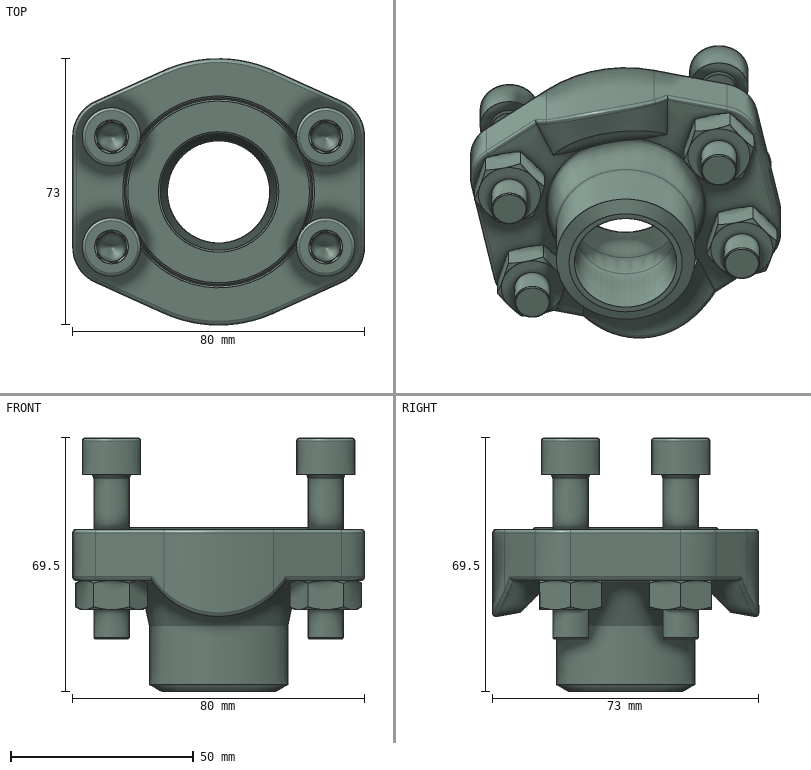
import cadquery as cq
import math

bolt_spacing_x = 58.7
bolt_spacing_y = 30.2
flange_length = 80.0
flange_width = 73.0
flange_thickness = 14.0
flange_edge_fillet = 1.0
bolt_hole_diameter = 12.0

skirt_radius = 24.1
skirt_draft = 10.0
skirt_inner_y = 28.9
skirt_inner_angle = 45.0

collar_diameter = 50.8
collar_thickness = 8.0
collar_projection = 0.5
collar_chamfer = 0.5
recess_diameter = 51.6
recess_chamfer = 0.5
neck_hole_diameter = 43.7
neck_diameter = 43.0
pipe_diameter = 38.0
cone_top_z = -14.5
pipe_top_z = -26.3
neck_length = 45.0
neck_bore_diameter = 32.0
neck_bore_depth = 14.5
neck_bore_chamfer = 0.5
pipe_bore_diameter = 28.0
weld_bevel_width = 3.5
weld_bevel_angle = 30.0

shank_diameter = 9.73
screw_length = 45.0
head_diameter = 16.0
head_height = 10.0
head_fillet = 0.8
head_gap = 15.0
throat_diameter = 10.5
throat_height = 1.0
tip_chamfer = 0.3
socket_across_flats = 8.0
socket_depth = 6.0
socket_turn = 38.0
socket_cone_angle = 30.0
socket_mouth_angle = 30.0

nut_across_flats = 17.0
nut_height = 8.0
nut_chamfer_angle = 30.0

bolt_x = bolt_spacing_x / 2
bolt_y = bolt_spacing_y / 2
bolt_positions = [(sx * bolt_x, sy * bolt_y) for sx in (-1, 1) for sy in (-1, 1)]
side_radius = flange_width / 2
corner_radius = flange_length / 2 - bolt_x
collar_bottom_z = collar_projection - collar_thickness
clear_below_z = -2 * skirt_radius
head_top_z = head_gap + head_height


def polar(center, radius, angle):
    """Point on a circle; the angle is in radians."""
    return (center[0] + radius * math.cos(angle), center[1] + radius * math.sin(angle))


def hexagon_corner_diameter(across_flats):
    """Corner-to-corner size of a regular hexagon."""
    return across_flats / math.cos(math.pi / 6)


def cylinder(diameter, top_z, bottom_z):
    """Upright cylinder on the Z axis."""
    return cq.Workplane("XY", origin=(0, 0, top_z)).circle(diameter / 2).extrude(bottom_z - top_z)


def revolve_about_z(profile):
    """Solid of revolution from (radius, z) points."""
    return cq.Workplane("XZ").polyline(profile).close().revolve(360, (0, 0, 0), (0, 1, 0))


def flange_plate(thickness):
    """Plate whose outline wraps the central circle and the four bolt circles."""
    bolt_distance = math.hypot(bolt_x, bolt_y)
    tilt = math.acos((side_radius - corner_radius) / bolt_distance)
    tangent_angle = math.atan2(bolt_y, bolt_x) + tilt
    bolt_center = (bolt_x, bolt_y)
    side_end = polar((0, 0), side_radius, tangent_angle)
    corner_start = polar(bolt_center, corner_radius, tangent_angle)
    corner_middle = polar(bolt_center, corner_radius, tangent_angle / 2)
    corner_end = (bolt_x + corner_radius, bolt_y)
    quarter = (
        cq.Workplane("XY")
        .moveTo(0, 0)
        .lineTo(0, side_radius)
        .threePointArc(polar((0, 0), side_radius, (tangent_angle + math.pi / 2) / 2), side_end)
        .lineTo(*corner_start)
        .threePointArc(corner_middle, corner_end)
        .lineTo(corner_end[0], 0)
        .close()
        .extrude(-thickness)
    )
    half = quarter.union(quarter.mirror("YZ"))
    return half.union(half.mirror("XZ")).clean()


def skirt_envelope():
    """Cone about the Y axis, ending in a sloped plane on its inner side; +Y side only."""
    draft_slope = math.tan(math.radians(skirt_draft))
    inner_radius = skirt_radius - side_radius * draft_slope
    cone = (
        cq.Workplane("XY")
        .polyline([(0, 0), (inner_radius, 0), (skirt_radius, side_radius), (0, side_radius)])
        .close()
        .revolve(360, (0, 0, 0), (0, 1, 0))
    )
    inner_z = (side_radius - skirt_inner_y) * draft_slope - skirt_radius
    top_y = skirt_inner_y + inner_z / math.tan(math.radians(skirt_inner_angle))
    keep = (
        cq.Workplane("YZ")
        .polyline([(top_y, 0), (skirt_inner_y, inner_z), (skirt_inner_y, clear_below_z),
                   (flange_width, clear_below_z), (flange_width, 0)])
        .close()
        .extrude(flange_length, both=True)
    )
    return cone.intersect(keep)


def build_flange():
    """Flange plate with two skirts, the collar recess, the neck hole and the bolt holes."""
    skirt = skirt_envelope().intersect(flange_plate(-clear_below_z))
    body = flange_plate(flange_thickness).union(skirt).union(skirt.mirror("XZ")).clean()

    lower_rim_zone = cq.selectors.BoxSelector(
        (-flange_length, -flange_length, clear_below_z),
        (flange_length, flange_length, flange_edge_fillet - flange_thickness),
    )
    body = body.faces("#Z").edges("not |Z").edges(lower_rim_zone).fillet(flange_edge_fillet)
    body = body.faces(">Z").edges().fillet(flange_edge_fillet)

    recess_radius = recess_diameter / 2
    recess = revolve_about_z([
        (0, collar_bottom_z),
        (recess_radius, collar_bottom_z),
        (recess_radius, -recess_chamfer),
        (recess_radius + recess_chamfer, 0),
        (0, 0),
    ])
    neck_hole = cylinder(neck_hole_diameter, 0, clear_below_z)
    body = body.cut(recess).cut(neck_hole)
    for x, y in bolt_positions:
        body = body.cut(cylinder(bolt_hole_diameter, 0, -flange_thickness).translate((x, y, 0)))
    return body


def build_neck():
    """Revolved welding neck: collar, cone to the pipe end, bevel and stepped bore."""
    collar_radius = collar_diameter / 2
    pipe_radius = pipe_diameter / 2
    bore_radius = neck_bore_diameter / 2
    pipe_bore_radius = pipe_bore_diameter / 2
    top = collar_projection
    bottom = top - neck_length
    bevel_height = weld_bevel_width * math.tan(math.radians(weld_bevel_angle))
    bore_end = top - neck_bore_depth
    profile = [
        (pipe_bore_radius, bottom),
        (pipe_radius - weld_bevel_width, bottom),
        (pipe_radius, bottom + bevel_height),
        (pipe_radius, pipe_top_z),
        (neck_diameter / 2, cone_top_z),
        (neck_diameter / 2, collar_bottom_z),
        (collar_radius, collar_bottom_z),
        (collar_radius, top - collar_chamfer),
        (collar_radius - collar_chamfer, top),
        (bore_radius + neck_bore_chamfer, top),
        (bore_radius, top - neck_bore_chamfer),
        (bore_radius, bore_end),
        (pipe_bore_radius, pipe_top_z),
    ]
    return revolve_about_z(profile)


def build_screw():
    """Socket head screw on the Z axis, with its head above the flange."""
    tip_z = head_gap - screw_length
    shank_radius = shank_diameter / 2
    head_radius = head_diameter / 2
    screw = revolve_about_z([
        (0, tip_z),
        (shank_radius - tip_chamfer, tip_z),
        (shank_radius, tip_z + tip_chamfer),
        (shank_radius, head_gap - throat_height),
        (throat_diameter / 2, head_gap),
        (head_radius, head_gap),
        (head_radius, head_top_z),
        (0, head_top_z),
    ])
    screw = screw.faces(">Z").edges().fillet(head_fillet)
    socket_corner_diameter = hexagon_corner_diameter(socket_across_flats)
    socket = (
        cq.Workplane("XY", origin=(0, 0, head_top_z))
        .polygon(6, socket_corner_diameter)
        .extrude(-socket_depth)
        .rotate((0, 0, 0), (0, 0, 1), socket_turn)
    )
    socket_radius = socket_across_flats / 2
    cone_depth = socket_radius * math.tan(math.radians(socket_cone_angle))
    socket_bottom_z = head_top_z - socket_depth
    socket_cone = revolve_about_z([
        (0, socket_bottom_z),
        (socket_radius, socket_bottom_z),
        (0, socket_bottom_z - cone_depth),
    ])
    mouth_radius = socket_corner_diameter / 2
    mouth_depth = mouth_radius * math.tan(math.radians(socket_mouth_angle))
    mouth = revolve_about_z([
        (0, head_top_z),
        (mouth_radius, head_top_z),
        (0, head_top_z - mouth_depth),
    ])
    return screw.cut(socket).cut(socket_cone).cut(mouth)


def build_nut():
    """Hexagon nut under the flange, chamfered on both faces, corners along X."""
    corner_diameter = hexagon_corner_diameter(nut_across_flats)
    tip_radius = corner_diameter / 2
    face_radius = nut_across_flats / 2
    drop = (tip_radius - face_radius) * math.tan(math.radians(nut_chamfer_angle))
    top = -flange_thickness
    bottom = top - nut_height
    hexagon = (
        cq.Workplane("XY", origin=(0, 0, bottom))
        .polygon(6, corner_diameter)
        .extrude(nut_height)
    )
    turned = revolve_about_z([
        (shank_diameter / 2, bottom),
        (face_radius, bottom),
        (tip_radius, bottom + drop),
        (tip_radius, top - drop),
        (face_radius, top),
        (shank_diameter / 2, top),
    ])
    return hexagon.intersect(turned)


flange = build_flange()
neck = build_neck()
screws = [build_screw().translate((x, y, 0)) for x, y in bolt_positions]
nuts = [build_nut().translate((x, y, 0)) for x, y in bolt_positions]

result = cq.Compound.makeCompound(
    [flange.val(), neck.val()]
    + [screw.val() for screw in screws]
    + [nut.val() for nut in nuts]
)